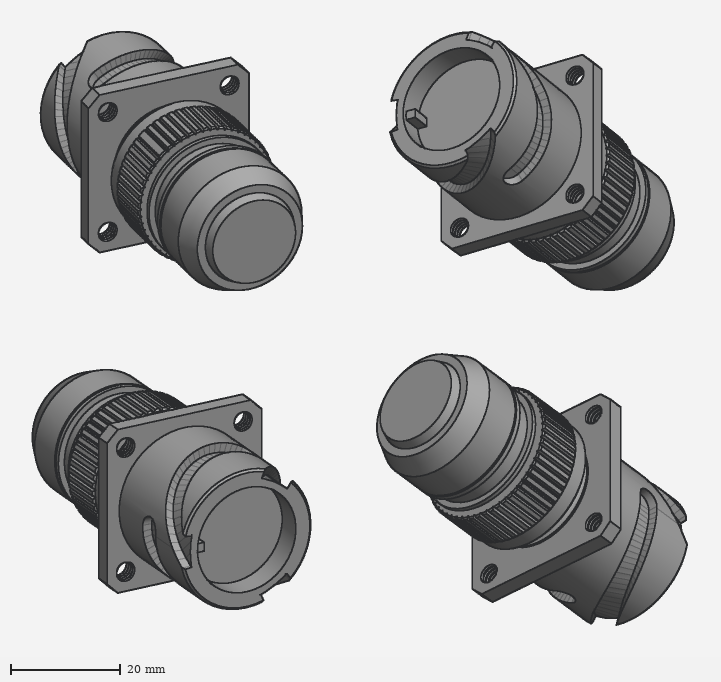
import cadquery as cq
import math

LENGTH = 62.65
SHELL_R = 13.7
RIM_CHAMFER = 0.45
BORE_R = 10.35
BORE_DEPTH = 5.1

FLANGE_SIDE = 32.5
FLANGE_START = 23.1
FLANGE_END = 26.25
FLANGE_CORNER = 2.25
HOLE_OFFSET = 12.35
THREAD_MINOR_R = 1.7
THREAD_MAJOR_R = 1.9
THREAD_TURNS = 4

KEY_WIDTH = 1.75
KEY_HEIGHT = 1.95
KEY_START = 1.0

NECK_R = 11.1
NECK_GROOVE_R = 10.1
NECK_LEDGE = 0.4
NECK_LAND = 0.55
NECK_BLEND = NECK_R - NECK_GROOVE_R
NECK_LIP = 0.25
NECK_LIP_STEP = 0.1

COLLAR_START = 29.25
COLLAR_R = 13.3
COLLAR_CHAMFER = 0.45
KNURL_START = 32.8
KNURL_END = 42.3
KNURL_R = 13.7
KNURL_CHAMFER = 0.3
GAP_COUNT = 55
GAP_PITCH_ANGLE = 6.5
GAP_WIDTH = 0.7
GAP_DEPTH = 0.55
WIDE_TOOTH_ANGLE = -50.0

REAR_NECK_R = 10.7
REAR_R = 12.5
FRONT_DISC_START = 43.3
FRONT_DISC_END = 44.15
REAR_GROOVE_R = 11.3
REAR_DISC_START = 47.8
REAR_DISC_END = 48.8
SEAM_WIDTH = 0.4
SEAM_DEPTH = 0.3
TAPER_START = 56.65
TAPER_END = 60.85
TAPER_END_R = 10.65
TIP_BASE_R = 9.0
TIP_END_R = 8.4

SLOT_COUNT = 3
SLOT_WIDTH = 4.75
SLOT_FLOOR_R = 11.85
SLOT_REACH = 11.95
SLOT_SWEEP = 122.0
SLOT_STEPS = 24
SLOT_LEAD_STEPS = 5
SLOT_POWER = 2.5
SLOT_CLEARANCE = 1.25


def revolved_body():
    """Solid of revolution about X holding every round section of the part."""
    land_start = FLANGE_END + NECK_LEDGE + NECK_BLEND
    land_end = land_start + NECK_LAND
    profile = (
        cq.Workplane("XY")
        .moveTo(0, 0)
        .lineTo(0, SHELL_R - RIM_CHAMFER)
        .lineTo(RIM_CHAMFER, SHELL_R)
        .lineTo(FLANGE_END, SHELL_R)
        .lineTo(FLANGE_END, NECK_R)
        .lineTo(land_start - NECK_BLEND, NECK_R)
        .radiusArc((land_start, NECK_GROOVE_R), -NECK_BLEND)
        .lineTo(land_end, NECK_GROOVE_R)
        .lineTo(land_end + NECK_LIP, NECK_GROOVE_R + NECK_LIP)
        .lineTo(land_end + NECK_LIP, NECK_GROOVE_R + NECK_LIP_STEP)
        .radiusArc((COLLAR_START, NECK_R), -NECK_BLEND)
        .lineTo(COLLAR_START, COLLAR_R - COLLAR_CHAMFER)
        .lineTo(COLLAR_START + COLLAR_CHAMFER, COLLAR_R)
        .lineTo(KNURL_START, COLLAR_R)
        .lineTo(KNURL_START + KNURL_CHAMFER, KNURL_R)
        .lineTo(KNURL_END - KNURL_CHAMFER, KNURL_R)
        .lineTo(KNURL_END, KNURL_R - KNURL_CHAMFER)
        .lineTo(KNURL_END, REAR_NECK_R)
        .lineTo(FRONT_DISC_START, REAR_NECK_R)
        .lineTo(FRONT_DISC_START, REAR_R)
        .lineTo(FRONT_DISC_END, REAR_R)
        .lineTo(FRONT_DISC_END, REAR_GROOVE_R)
        .lineTo(REAR_DISC_START, REAR_GROOVE_R)
        .lineTo(REAR_DISC_START, REAR_R)
        .lineTo(REAR_DISC_END, REAR_R)
        .lineTo(REAR_DISC_END, REAR_R - SEAM_DEPTH)
        .lineTo(REAR_DISC_END + SEAM_WIDTH, REAR_R - SEAM_DEPTH)
        .lineTo(REAR_DISC_END + SEAM_WIDTH, REAR_R)
        .lineTo(TAPER_START, REAR_R)
        .lineTo(TAPER_END, TAPER_END_R)
        .lineTo(TAPER_END, TIP_BASE_R)
        .lineTo(LENGTH, TIP_END_R)
        .lineTo(LENGTH, 0)
        .close()
    )
    return profile.revolve(360, (0, 0, 0), (1, 0, 0))


def flange():
    """Square plate with chamfered corners."""
    return (
        cq.Workplane("YZ", origin=(FLANGE_START, 0, 0))
        .rect(FLANGE_SIDE, FLANGE_SIDE)
        .extrude(FLANGE_END - FLANGE_START)
        .edges("|X")
        .chamfer(FLANGE_CORNER)
    )


def threaded_holes():
    """Cutters for the four corner holes, their threads simplified to V-shaped rings."""
    pitch = (FLANGE_END - FLANGE_START) / THREAD_TURNS
    outline = cq.Workplane("XY").moveTo(FLANGE_START, 0).lineTo(FLANGE_START, THREAD_MAJOR_R)
    for turn in range(THREAD_TURNS):
        crest = FLANGE_START + turn * pitch
        outline = outline.lineTo(crest + pitch / 2, THREAD_MINOR_R).lineTo(crest + pitch, THREAD_MAJOR_R)
    cutter = outline.lineTo(FLANGE_END, 0).close().revolve(360, (0, 0, 0), (1, 0, 0))
    holes = cq.Workplane("XY")
    for y in (-HOLE_OFFSET, HOLE_OFFSET):
        for z in (-HOLE_OFFSET, HOLE_OFFSET):
            holes = holes.add(cutter.translate((0, y, z)))
    return holes.combine()


def bore():
    """Cutter for the front bore, leaving the key standing on its wall."""
    socket = cq.Workplane("YZ").circle(BORE_R).extrude(BORE_DEPTH)
    key = cq.Workplane("XY").box(
        BORE_DEPTH - KEY_START, 2 * KEY_HEIGHT, KEY_WIDTH, centered=(False, True, True)
    ).translate((KEY_START, BORE_R, 0))
    return socket.cut(key)


def knurl_gaps():
    """Cutters for the V-shaped gaps between the teeth of the knurled ring.

    The gaps are evenly pitched but do not quite fill the turn, which leaves one wider tooth.
    """
    gap = (
        cq.Workplane("YZ", origin=(KNURL_START, 0, 0))
        .moveTo(-KNURL_R + GAP_DEPTH, 0)
        .lineTo(-KNURL_R, GAP_WIDTH / 2)
        .lineTo(-KNURL_R - GAP_DEPTH, GAP_WIDTH / 2)
        .lineTo(-KNURL_R - GAP_DEPTH, -GAP_WIDTH / 2)
        .lineTo(-KNURL_R, -GAP_WIDTH / 2)
        .close()
        .extrude(KNURL_END - KNURL_START)
    )
    gaps = cq.Workplane("XY")
    wide_tooth = 360 - (GAP_COUNT - 1) * GAP_PITCH_ANGLE
    first_gap = WIDE_TOOTH_ANGLE + wide_tooth / 2
    for index in range(GAP_COUNT):
        gaps = gaps.add(gap.rotate((0, 0, 0), (1, 0, 0), first_gap + index * GAP_PITCH_ANGLE))
    return gaps.combine(glue=False)


def slot_section(angle):
    """Rectangular wire across the slot; angle runs from its mouth (0) to its closed end."""
    sweep = math.radians(SLOT_SWEEP)
    remaining = 1 - math.radians(angle) / sweep
    x = SLOT_REACH * (1 - remaining**SLOT_POWER)
    slope = SLOT_REACH * SLOT_POWER * remaining ** (SLOT_POWER - 1) / (sweep * SHELL_R)

    turn = math.radians(angle)
    outward = cq.Vector(0, math.cos(turn), math.sin(turn))
    around = cq.Vector(0, -math.sin(turn), math.cos(turn))
    across = (cq.Vector(1, 0, 0) - around * slope).normalized() * (SLOT_WIDTH / 2)

    floor = cq.Vector(x, 0, 0) + outward * SLOT_FLOOR_R
    top = cq.Vector(x, 0, 0) + outward * (SHELL_R + SLOT_CLEARANCE)
    return cq.Wire.makePolygon([floor - across, floor + across, top + across, top - across], close=True)


def slot_channel():
    """Cutter for the run of one slot, steep at its mouth in the rim and level at its closed end."""
    step = SLOT_SWEEP / SLOT_STEPS
    sections = [slot_section(i * step) for i in range(-SLOT_LEAD_STEPS, SLOT_STEPS + 1)]
    return cq.Workplane(obj=cq.Solid.makeLoft(sections, True))


def slot_round_end():
    """Half-round cutter that closes the level end of one slot."""
    half_width = SLOT_WIDTH / 2
    return (
        cq.Workplane("XZ", origin=(SLOT_REACH, SLOT_FLOOR_R, 0))
        .moveTo(-half_width, 0)
        .threePointArc((0, half_width), (half_width, 0))
        .close()
        .extrude(-(SHELL_R + SLOT_CLEARANCE - SLOT_FLOOR_R))
        .rotate((0, 0, 0), (1, 0, 0), SLOT_SWEEP)
    )


result = revolved_body().union(flange()).cut(bore()).cut(threaded_holes()).cut(knurl_gaps())
for cutter in (slot_channel(), slot_round_end()):
    for index in range(SLOT_COUNT):
        result = result.cut(cutter.rotate((0, 0, 0), (1, 0, 0), index * 360 / SLOT_COUNT))